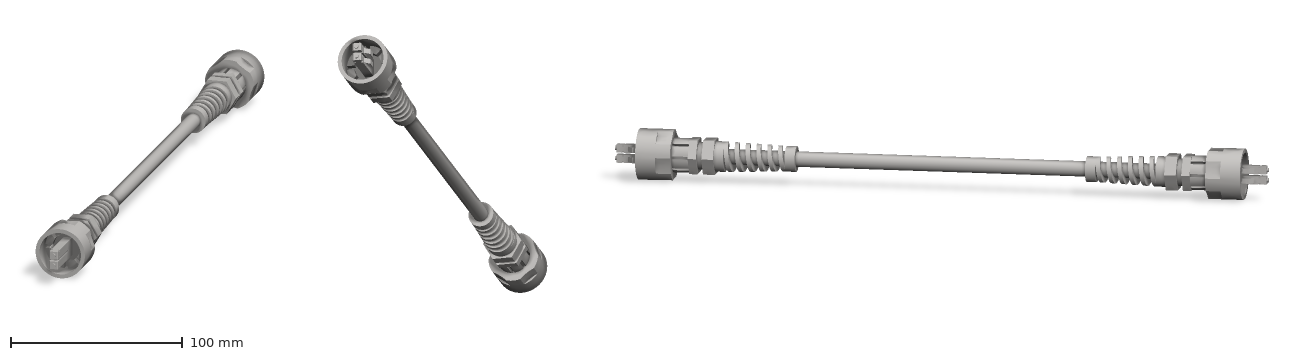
import cadquery as cq
import math

OVERALL_LENGTH = 386.84
TIP = OVERALL_LENGTH / 2

FERRULE_LENGTH = 1.0
RING_FRONT = TIP - 14.4
RING_LENGTH = 20.7
RING_REAR = RING_FRONT - RING_LENGTH
FRONT_HEX_START = TIP - 44.9
FRONT_HEX_LENGTH = 4.9
NECK_START = FRONT_HEX_START - FRONT_HEX_LENGTH
NECK_LENGTH = 3.2
NECK_JOINT = NECK_START - NECK_LENGTH / 2
NUT_START = NECK_START - NECK_LENGTH
NUT_HEX_LENGTH = 6.9
SLEEVE_START = NUT_START - NUT_HEX_LENGTH
SLEEVE_LENGTH = 5.6
COIL_START = SLEEVE_START - SLEEVE_LENGTH
COIL_LENGTH = 36.0
COLLAR_START = COIL_START - COIL_LENGTH
COLLAR_LENGTH = 6.0
COLLAR_END = COLLAR_START - COLLAR_LENGTH

CABLE_RADIUS = 4.5

RING_RADIUS = 15.0
RING_BORE_RADIUS = 12.6
RING_REAR_WALL = 3.0
GRIP_COUNT = 5
GRIP_LENGTH = 8.9
GRIP_HALF_ANGLE = 20.0
GRIP_SCOOP_RADIUS = 30.0

HOUSING_RADIUS = 10.1
FLANGE_LENGTH = 6.0
FLANGE_WEB = 2.0
FINGER_GAP = 2.4
FLANGE_REAR = RING_REAR + RING_REAR_WALL
FLANGE_FRONT = FLANGE_REAR + FLANGE_LENGTH
SOCKET_FLOOR = FLANGE_REAR + FLANGE_WEB
SLOT_COUNT = 8
BARREL_SLOT_WIDTH = 2.0
SOCKET_RADIUS = 8.3
SLOT_FLOOR_RADIUS = 8.0
HEX_ACROSS_FLATS = 20.0
NECK_RADIUS = 8.0

SLEEVE_RADIUS = 8.9
COLLAR_RADIUS = 7.5
COIL_PITCH = 6.4
COIL_WIDTH = 2.5
HELIX_OVERRUN = 2.8
STRAND_OVERSIZE = 0.5

PLUG_PITCH = 6.0
PLUG_WIDTH = 4.6
PLUG_HEIGHT = 5.2
PLUG_CHAMFER = 0.6
NOTCH_START = TIP - 4.4
NOTCH_LENGTH = 1.3
NOTCH_DEPTH = 1.0
FERRULE_RADIUS = 1.25
BRIDGE_LENGTH = 8.0
LATCH_TOP = TIP - 8.0
LATCH_REACH = 3.0
LATCH_TAIL_LENGTH = 6.0
LATCH_THICKNESS = 0.6
LATCH_WIDTH = 3.0


def cylinder(radius, start, end):
    """A solid cylinder on the Y axis between two Y positions."""
    low = min(start, end)
    solid = cq.Solid.makeCylinder(radius, abs(end - start), cq.Vector(0, low, 0), cq.Vector(0, 1, 0))
    return cq.Workplane(obj=solid)


def block(size, center):
    """A box of the given X, Y and Z sizes around a centre point."""
    return cq.Workplane("XY").box(*size).translate(center)


def hexagon(start, end):
    """A hexagonal prism with corners toward +X and -X, running from start back to end."""
    across_corners = HEX_ACROSS_FLATS / math.cos(math.pi / 6)
    prism = cq.Workplane("XZ").polygon(6, across_corners).extrude(start - end)
    return prism.translate((0, start, 0))


def spin(shape, angle):
    """Turn a shape about the Y axis, angle in degrees."""
    return shape.rotate((0, 0, 0), (0, 1, 0), angle)


def make_ring():
    ring = cylinder(RING_RADIUS, RING_FRONT, RING_REAR)
    ring = ring.cut(cylinder(RING_BORE_RADIUS, RING_FRONT, FLANGE_REAR))
    ring = ring.cut(cylinder(HOUSING_RADIUS, FLANGE_REAR, RING_REAR))
    half_angle = math.radians(GRIP_HALF_ANGLE)
    half_chord = RING_RADIUS * math.sin(half_angle)
    scoop_offset = RING_RADIUS * math.cos(half_angle) + math.sqrt(GRIP_SCOOP_RADIUS**2 - half_chord**2)
    scoop = cylinder(GRIP_SCOOP_RADIUS, RING_REAR + GRIP_LENGTH, RING_REAR).translate((0, 0, -scoop_offset))
    for index in range(GRIP_COUNT):
        ring = ring.cut(spin(scoop, index * 360 / GRIP_COUNT))
    return ring


def cut_slots(shape, width, front, rear):
    """Cut radial slots, open to the outside, between two Y positions."""
    depth = RING_RADIUS - SLOT_FLOOR_RADIUS
    slot = block((width, front - rear, depth), (0, (front + rear) / 2, SLOT_FLOOR_RADIUS + depth / 2))
    for index in range(SLOT_COUNT):
        shape = shape.cut(spin(slot, index * 360 / SLOT_COUNT))
    return shape


def make_housing():
    flange = cylinder(RING_BORE_RADIUS, FLANGE_FRONT, FLANGE_REAR)
    flange = flange.cut(cylinder(SOCKET_RADIUS, FLANGE_FRONT, SOCKET_FLOOR))
    flange = cut_slots(flange, FINGER_GAP, FLANGE_FRONT, SOCKET_FLOOR)
    barrel = cylinder(HOUSING_RADIUS, FLANGE_REAR, FRONT_HEX_START)
    barrel = cut_slots(barrel, BARREL_SLOT_WIDTH, FLANGE_REAR, FRONT_HEX_START)
    housing = barrel.union(flange).union(hexagon(FRONT_HEX_START, NECK_START))
    return housing.union(cylinder(NECK_RADIUS, NECK_START, NECK_JOINT))


def make_coil():
    """One tapered helical strand bridging the gap between the sleeve and the end collar."""
    helix_start = COLLAR_START - HELIX_OVERRUN
    helix_length = COIL_LENGTH + 2 * HELIX_OVERRUN
    path = cq.Wire.makeHelix(
        COIL_PITCH, helix_length, CABLE_RADIUS, cq.Vector(0, helix_start, 0), cq.Vector(0, 1, 0)
    )
    start = path.startPoint()
    outward = cq.Vector(start.x, 0, start.z).normalized()
    across = outward.cross(cq.Vector(0, 1, 0))
    plane = cq.Plane(origin=start.toTuple(), xDir=outward.toTuple(), normal=across.toTuple())
    depth = SLEEVE_RADIUS - CABLE_RADIUS
    section = cq.Workplane(plane).center(depth / 2, 0).rect(depth + 2 * STRAND_OVERSIZE, COIL_WIDTH)
    strand = section.sweep(cq.Workplane(obj=path), isFrenet=True)
    envelope = cq.Solid.makeCone(
        COLLAR_RADIUS, SLEEVE_RADIUS, COIL_LENGTH, cq.Vector(0, COLLAR_START, 0), cq.Vector(0, 1, 0)
    )
    return strand.intersect(cq.Workplane(obj=envelope))


def make_gland_nut():
    nut = hexagon(NUT_START, SLEEVE_START)
    nut = nut.union(cylinder(NECK_RADIUS, NECK_JOINT, NUT_START))
    nut = nut.union(cylinder(SLEEVE_RADIUS, SLEEVE_START, COIL_START))
    nut = nut.union(cylinder(COLLAR_RADIUS, COLLAR_START, COLLAR_END))
    nut = nut.union(make_coil())
    return nut.cut(cylinder(CABLE_RADIUS, NECK_JOINT, COLLAR_END))


def make_prong():
    nose = TIP - FERRULE_LENGTH
    length = nose - SOCKET_FLOOR
    prong = block((PLUG_HEIGHT, length, PLUG_WIDTH), (0, nose - length / 2, 0))
    prong = prong.faces(">Y").edges("|Z").chamfer(PLUG_CHAMFER)
    for side in (-1, 1):
        for level in (-1, 1):
            notch_center = (side * PLUG_HEIGHT / 2, NOTCH_START - NOTCH_LENGTH / 2, level * PLUG_WIDTH / 2)
            prong = prong.cut(block((2 * NOTCH_DEPTH, NOTCH_LENGTH, 2 * NOTCH_DEPTH), notch_center))
    prong = prong.union(cylinder(FERRULE_RADIUS, TIP, nose))
    root = -PLUG_HEIGHT / 2
    bend = LATCH_TOP - LATCH_REACH
    inner_reach = LATCH_REACH - LATCH_THICKNESS
    latch = (
        cq.Workplane("XY")
        .moveTo(root, LATCH_TOP)
        .lineTo(root - LATCH_REACH, bend)
        .lineTo(root - LATCH_REACH, bend - LATCH_TAIL_LENGTH)
        .lineTo(root - inner_reach, bend - LATCH_TAIL_LENGTH)
        .lineTo(root - inner_reach, bend)
        .lineTo(root, bend + inner_reach)
        .close()
        .extrude(LATCH_WIDTH / 2, both=True)
    )
    return prong.union(latch)


def make_plug():
    prong = make_prong()
    plug = prong.translate((0, 0, PLUG_PITCH / 2)).union(prong.translate((0, 0, -PLUG_PITCH / 2)))
    bridge = block((PLUG_HEIGHT, BRIDGE_LENGTH, PLUG_PITCH), (0, SOCKET_FLOOR + BRIDGE_LENGTH / 2, 0))
    return plug.union(bridge)


connector = [make_ring(), make_housing(), make_gland_nut(), make_plug()]
cable = cylinder(CABLE_RADIUS, NECK_JOINT, -NECK_JOINT)

bodies = [cable.val()]
for body in connector:
    bodies.append(body.val())
    bodies.append(body.rotate((0, 0, 0), (1, 0, 0), 180).val())

result = cq.Compound.makeCompound(bodies)